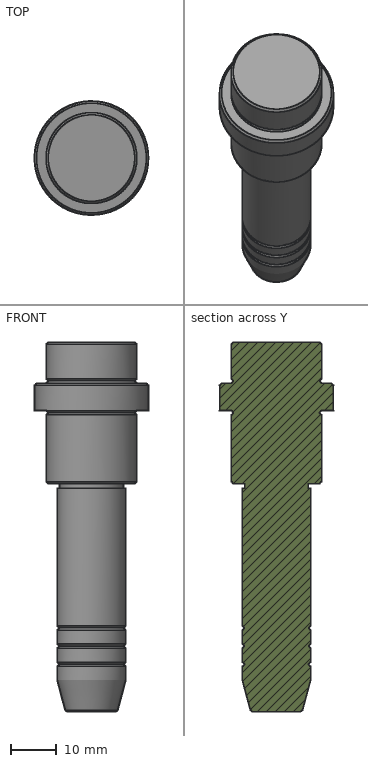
import cadquery as cq

total_height = 81.0
shank_radius = 7.5
body_radius = 10.0
flange_radius = 25.0 / 2
neck_radius = 7.05

edge_chamfer = 0.5
tip_chamfer = 0.4
taper_height = 7.0
taper_angle = 15.0

neck_bottom = 49.0
body_bottom = 50.0
flange_bottom = 66.0
flange_top = 72.0

groove_width = 1.0
groove_depth = groove_width / 2
shank_groove_bottom = 10.0
shank_groove_pitch = 4.0
shank_groove_count = 3


def cylinder(radius, bottom, top):
    return cq.Workplane("XY").workplane(offset=bottom).circle(radius).extrude(top - bottom)


def v_groove(radius, bottom):
    """Ring that cuts a symmetric V groove into a cylinder of the given radius."""
    return (
        cq.Workplane("XZ")
        .moveTo(radius, bottom)
        .lineTo(radius - groove_depth, bottom + groove_width / 2)
        .lineTo(radius, bottom + groove_width)
        .close()
        .revolve(360, (0, 0, 0), (0, 1, 0))
    )


def tapered_tip():
    cone = cq.Workplane("XY").circle(shank_radius).extrude(-taper_height, taper=taper_angle)
    cone = cone.translate((0, 0, taper_height))
    return cone.faces("<Z").chamfer(tip_chamfer)


shank = cylinder(shank_radius, taper_height, neck_bottom)
for index in range(shank_groove_count):
    shank = shank.cut(v_groove(shank_radius, shank_groove_bottom + index * shank_groove_pitch))
neck = cylinder(neck_radius, neck_bottom, body_bottom)

body = cylinder(body_radius, body_bottom, total_height).faces("<Z or >Z").chamfer(edge_chamfer)
for groove_bottom in (flange_bottom - groove_width, flange_top):
    body = body.cut(v_groove(body_radius, groove_bottom))

flange = cylinder(flange_radius, flange_bottom, flange_top).faces(">Z").chamfer(edge_chamfer)

result = tapered_tip().union(shank).union(neck).union(body).union(flange)